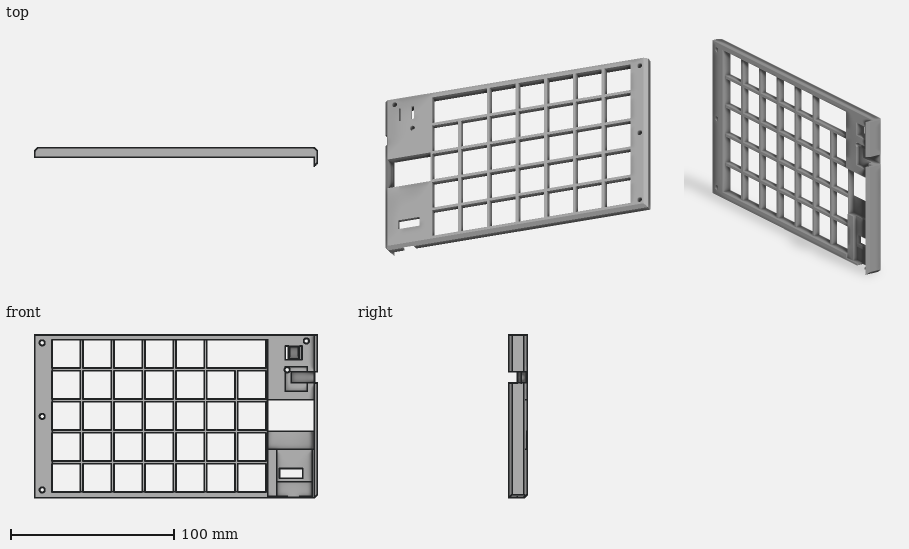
import cadquery as cq

length = 173.5
height = 100.0
total_depth = 11.5
body_depth = 6.0
edge_chamfer = 2.0

lip_depth = total_depth - body_depth
lip_inner_x = length - edge_chamfer

columns = 7
rows = 5
cell = 17.2
grid_left = 10.8
grid_bottom = 3.8
grid_width = 131.1
pitch = (grid_width - cell) / (columns - 1)
grid_height = (rows - 1) * pitch + cell
rib_recess = 2.0
wide_key_column = 5

panel_left = 143.0

bay_bottom = 29.8
bay_top = 60.2
window_bottom = 41.0
bay_wall = 0.3
bay_lip_undercut = 0.2
bay_lip_reach = 2.0

box_right = 170.3
box_floor = 1.0
box_pocket_left = 148.6
box_strip_recess = 1.2
box_recess = 3.5
box_step_top = 10.0
box_step_recess = 4.2
box_window_left = 150.2
box_window_right = 164.5
box_window_bottom = 12.1
box_window_top = 18.0
floor_notch_left = 154.9
floor_notch_right = 162.5

socket_left = 153.8
socket_right = 167.2
socket_bottom = 65.4
socket_top = 80.5
socket_recess = 2.3
cable_left = 157.5
cable_bottom = 70.6
cable_top = 77.4
cable_recess = 5.5

opening_left = 153.8
opening_right = 163.9
opening_bottom = 84.8
opening_top = 93.1
button_left = 155.5
button_right = 162.7
button_depth = 0.9

dish_rim = 0.2
dish_sections = [
    (0, button_left + dish_rim, button_right - dish_rim, opening_bottom + dish_rim, opening_top - dish_rim),
    (0.5, 156.0, 162.3, 85.5, 92.8),
    (0.7, 156.5, 161.8, 87.0, 91.7),
]

screw_diameter = 3.1
left_screw_x = 4.7
left_screw_pitch = 45.1
left_screws = [(left_screw_x, height / 2 + i * left_screw_pitch) for i in (-1, 0, 1)]
right_screws = [(166.7, 96.3), (154.9, 78.5)]


def block(x_range, y_range, z_range):
    """Axis-aligned box between two limits on each axis."""
    (x0, x1), (y0, y1), (z0, z1) = x_range, y_range, z_range
    return cq.Workplane("XY").box(x1 - x0, y1 - y0, z1 - z0, centered=False).translate((x0, y0, z0))


def make_body():
    """Plate and lip as one profile, with the bottom edges chamfered."""
    c = edge_chamfer
    profile = [
        (0, 0),
        (lip_inner_x, 0),
        (lip_inner_x, -lip_depth),
        (length, -lip_depth + c),
        (length, body_depth - c),
        (length - c, body_depth),
        (c, body_depth),
        (0, body_depth - c),
    ]
    body = cq.Workplane("XY").polyline(profile).close().extrude(height)

    bottom_back = [(body_depth - c, 0), (body_depth, c), (body_depth, 0)]
    body = body.cut(cq.Workplane("YZ").polyline(bottom_back).close().extrude(length))

    bottom_right = [(length - c, 0), (length, c), (length, 0)]
    back_plane = cq.Workplane("XZ", origin=(0, body_depth, 0))
    return body.cut(back_plane.polyline(bottom_right).close().extrude(total_depth))


def cut_key_grid(body):
    """Recess over the ribs, then one through opening per key."""
    grid_top = grid_bottom + grid_height
    body = body.cut(block((grid_left, panel_left), (0, rib_recess), (grid_bottom, grid_top)))
    for row in range(rows):
        z0 = grid_bottom + row * pitch
        top_row = row == rows - 1
        for column in range(wide_key_column + 1 if top_row else columns):
            x0 = grid_left + column * pitch
            wide = top_row and column == wide_key_column
            width = cell + pitch if wide else cell
            body = body.cut(block((x0, x0 + width), (0, body_depth), (z0, z0 + cell)))
    return body


def cut_display_bay(body):
    bay_right = lip_inner_x + bay_lip_undercut
    body = body.cut(
        block((panel_left, bay_right), (-bay_lip_reach, body_depth - bay_wall), (bay_bottom, bay_top))
    )
    return body.cut(block((panel_left, bay_right), (0, body_depth), (window_bottom, bay_top)))


def cut_connector_box(body):
    pocket_x = (box_pocket_left, box_right)
    body = body.cut(block((panel_left, box_pocket_left), (0, box_strip_recess), (box_floor, bay_bottom)))
    body = body.cut(block(pocket_x, (0, box_recess), (box_step_top, bay_bottom)))
    body = body.cut(block(pocket_x, (0, box_step_recess), (box_floor, box_step_top)))
    body = body.cut(block((floor_notch_left, floor_notch_right), (0, box_step_recess), (0, box_floor)))
    window_z = (box_window_bottom, box_window_top)
    return body.cut(block((box_window_left, box_window_right), (0, body_depth), window_z))


def cut_socket(body):
    body = body.cut(block((socket_left, socket_right), (0, socket_recess), (socket_bottom, socket_top)))
    return body.cut(block((cable_left, length), (-lip_depth, cable_recess), (cable_bottom, cable_top)))


def make_dish(front_y):
    """Hollow that narrows from its mouth at front_y toward its floor."""
    wires = []
    for depth, left, right, bottom, top in dish_sections:
        y = front_y + depth
        corners = [(left, y, bottom), (right, y, bottom), (right, y, top), (left, y, top)]
        wires.append(cq.Wire.makePolygon([cq.Vector(*corner) for corner in corners], close=True))
    return cq.Workplane("XY").add(cq.Solid.makeLoft(wires, True))


def add_button(body):
    """Through opening, partly closed at the back by a dished button with gaps on its left and right."""
    body = body.cut(block((opening_left, opening_right), (0, body_depth), (opening_bottom, opening_top)))
    button = block(
        (button_left, button_right), (body_depth - button_depth, body_depth), (opening_bottom, opening_top)
    )
    return body.union(button.cut(make_dish(body_depth - button_depth)))


def cut_screw_holes(body):
    holes = (
        cq.Workplane("XZ", origin=(0, body_depth, 0))
        .pushPoints(left_screws + right_screws)
        .circle(screw_diameter / 2)
        .extrude(body_depth)
    )
    return body.cut(holes)


result = make_body()
result = cut_key_grid(result)
result = cut_display_bay(result)
result = cut_connector_box(result)
result = cut_socket(result)
result = add_button(result)
result = cut_screw_holes(result)